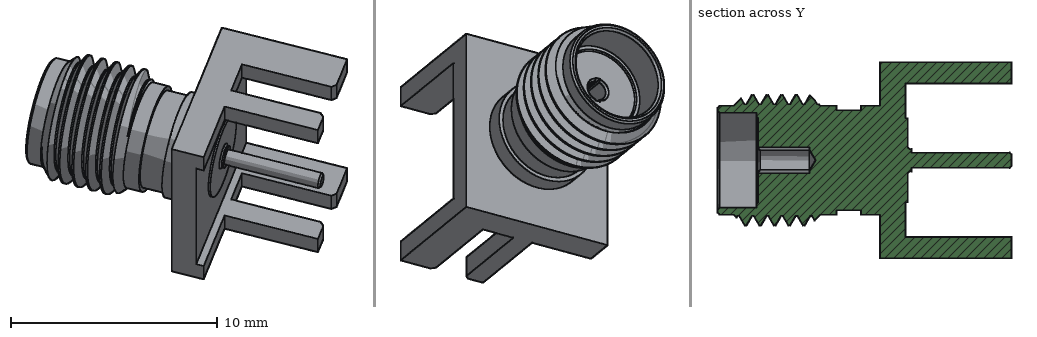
import cadquery as cq
import math


overall_length = 14.28
flange_front = 7.89
flange_thickness = 1.25
flange_rear = flange_front + flange_thickness
neck_start = 5.79
neck_end = 6.97

barrel_radius = 2.65
neck_radius = 2.44
rim_chamfer = 0.1

thread_front = 0.79
thread_rear = 5.0
inch = 25.4
threads_per_inch = 36
thread_flank_angle = 30
thread_pitch = inch / threads_per_inch
thread_radius = inch / 4 / 2
thread_flat = thread_pitch / 8
flank_slope = math.tan(math.radians(thread_flank_angle))
thread_depth = (thread_pitch - 2 * thread_flat) / 2 / flank_slope
thread_root_radius = thread_radius - thread_depth
groove_start = 0.31
groove_turns = 7
groove_overcut = 0.05

bore_radius = 2.3
bore_depth = 1.9
bore_chamfer = 0.12
seat_radius = 2.12
dielectric_radius = 2.05
seat_taper_depth = seat_radius - dielectric_radius

dielectric_rear = flange_rear + 0.1

socket_radius = 0.49
socket_chamfer = 0.11
socket_depth = 2.5
socket_tip_angle = 118
socket_tip_height = socket_radius / math.tan(math.radians(socket_tip_angle / 2))
slit_width = 0.25
slit_span = 1.25
collar_radius = 0.64
collar_chamfer = 0.09
collar_rear = dielectric_rear + 0.18
pin_radius = 0.38
pin_chamfer = 0.1

flange_width = 7.92
flange_height = 9.52
leg_thickness = 1.04
leg_length = 4.76
leg_root = overall_length - leg_length
outer_leg_width = 1.87
board_gap = 1.7
inner_leg_width = 1.05
leg_chamfer = 0.2


def revolve_about_axis(points):
    """Solid of revolution about X from (x, radius) points."""
    return cq.Workplane("XY").polyline(points).close().revolve(360, (0, 0, 0), (1, 0, 0))


def make_barrel():
    cone_length = thread_radius - barrel_radius
    return revolve_about_axis([
        (0, 0),
        (0, barrel_radius - rim_chamfer),
        (rim_chamfer, barrel_radius),
        (thread_front, barrel_radius),
        (thread_front + cone_length, thread_radius),
        (thread_rear - cone_length, thread_radius),
        (thread_rear, barrel_radius),
        (neck_start, barrel_radius),
        (neck_start, neck_radius),
        (neck_end, neck_radius),
        (neck_end, barrel_radius),
        (flange_rear, barrel_radius),
        (flange_rear, 0),
    ])


def make_half_turn_groove():
    """Half a turn of the right-hand helical groove, made along Z and turned onto the X axis."""
    outer_radius = thread_radius + groove_overcut
    root_half = thread_flat / 2
    outer_half = root_half + (outer_radius - thread_root_radius) * flank_slope
    path = cq.Wire.makeHelix(thread_pitch, thread_pitch / 2, thread_root_radius)
    groove = (
        cq.Workplane("XZ")
        .polyline([
            (thread_root_radius, -root_half),
            (outer_radius, -outer_half),
            (outer_radius, outer_half),
            (thread_root_radius, root_half),
        ])
        .close()
        .sweep(path, isFrenet=True)
    )
    return groove.rotate((0, 0, 0), (0, 1, 0), 90).translate((groove_start, 0, 0))


def cut_thread(blank):
    """Cut the groove half a turn at a time, which keeps each boolean simple."""
    half_turn = make_half_turn_groove()
    for index in range(2 * groove_turns):
        piece = half_turn.rotate((0, 0, 0), (1, 0, 0), 180 * index)
        blank = blank.cut(piece.translate((index * thread_pitch / 2, 0, 0)))
    return blank


def make_bore():
    """Mating bore with a chamfered mouth and a tapered seat down to the dielectric."""
    return revolve_about_axis([
        (0, 0),
        (0, bore_radius + bore_chamfer),
        (bore_chamfer, bore_radius),
        (bore_depth, bore_radius),
        (bore_depth, seat_radius),
        (bore_depth + seat_taper_depth, dielectric_radius),
        (bore_depth + seat_taper_depth, 0),
    ])


def make_socket():
    """Drilled contact socket with a chamfered mouth, a conical bottom and a vertical slit."""
    mouth = bore_depth + seat_taper_depth
    bottom = mouth + socket_depth
    hole = revolve_about_axis([
        (mouth, 0),
        (mouth, socket_radius + socket_chamfer),
        (mouth + socket_chamfer, socket_radius),
        (bottom, socket_radius),
        (bottom + socket_tip_height, 0),
    ])
    slit = (
        cq.Workplane("XY")
        .box(socket_depth, slit_width, slit_span, centered=(False, True, True))
        .translate((mouth, 0, 0))
    )
    return hole.union(slit)


def make_rear_contact():
    """Dielectric disc, contact collar and pin behind the flange."""
    return revolve_about_axis([
        (flange_front, 0),
        (flange_front, dielectric_radius),
        (dielectric_rear, dielectric_radius),
        (dielectric_rear, collar_radius),
        (dielectric_rear + collar_chamfer, collar_radius - collar_chamfer),
        (collar_rear, collar_radius - collar_chamfer),
        (collar_rear, pin_radius),
        (overall_length - pin_chamfer, pin_radius),
        (overall_length, pin_radius - pin_chamfer),
        (overall_length, 0),
    ])


def make_leg_layer():
    """Plan outline of one horizontal layer: flange edge plus an outer and an inner leg."""
    outer_side = flange_width / 2
    gap_outer = outer_side - outer_leg_width
    gap_inner = gap_outer - board_gap
    inner_side = gap_inner - inner_leg_width
    return (
        cq.Workplane("XY")
        .polyline([
            (flange_front, -outer_side),
            (leg_root, -outer_side),
            (leg_root, inner_side),
            (overall_length, inner_side),
            (overall_length, gap_inner - leg_chamfer),
            (overall_length - leg_chamfer, gap_inner),
            (leg_root, gap_inner),
            (leg_root, gap_outer),
            (overall_length - leg_chamfer, gap_outer),
            (overall_length, gap_outer + leg_chamfer),
            (overall_length, outer_side),
            (flange_front, outer_side),
        ])
        .close()
        .extrude(leg_thickness)
    )


def make_flange():
    plate = (
        cq.Workplane("XY")
        .box(flange_thickness, flange_width, flange_height, centered=(False, True, True))
        .translate((flange_front, 0, 0))
    )
    for layer_bottom in (-flange_height / 2, flange_height / 2 - leg_thickness):
        plate = plate.union(make_leg_layer().translate((0, 0, layer_bottom)))
    return plate


barrel = cut_thread(make_barrel())
body = barrel.union(make_flange()).union(make_rear_contact())
result = body.cut(make_bore()).cut(make_socket())